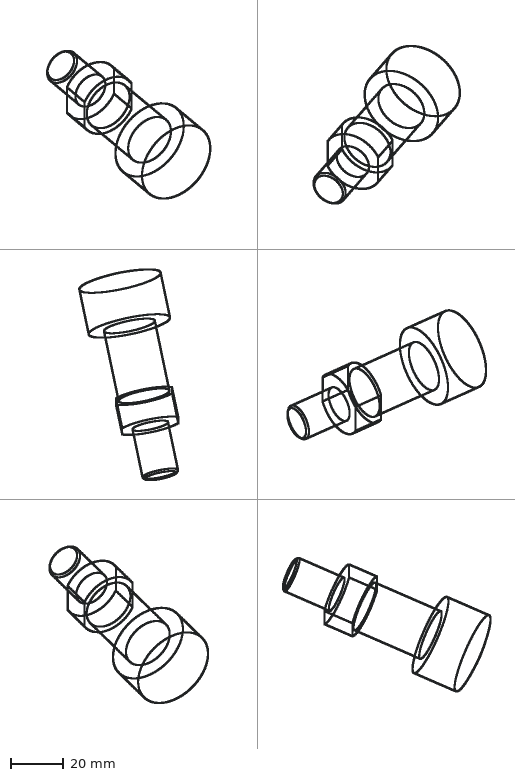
import cadquery as cq

stud_diameter = 14.0
collar_diameter = 25.0
shank_diameter = 20.0
head_diameter = 32.0

stud_length = 20.0
collar_length = 12.0
shank_length = 28.0
head_side_length = 18.0
dome_height = 2.0

stud_chamfer = 0.8
width_across_flats = 22.0

collar_start = stud_length
shank_start = collar_start + collar_length
head_start = shank_start + shank_length
dome_start = head_start + head_side_length


def cylinder_along_x(start, length, diameter):
    """Solid cylinder on the X axis, growing towards +X from start."""
    return cq.Workplane("YZ", origin=(start, 0, 0)).circle(diameter / 2).extrude(length)


def make_stud():
    """Stud with a chamfered free end."""
    return cylinder_along_x(0, stud_length, stud_diameter).faces("<X").chamfer(stud_chamfer)


def make_collar():
    """Round collar with two wrench flats facing -Y and +Y."""
    collar = cylinder_along_x(collar_start, collar_length, collar_diameter)
    flats_envelope = cq.Workplane("YZ", origin=(collar_start, 0, 0)).rect(
        width_across_flats, collar_diameter
    ).extrude(collar_length)
    return collar.intersect(flats_envelope)


def make_head():
    """Cylindrical head closed by a shallow spherical dome."""
    head_radius = head_diameter / 2
    crown = dome_start + dome_height
    dome_radius = (head_radius**2 + dome_height**2) / (2 * dome_height)
    dome_center = crown - dome_radius
    mid_radius = head_radius / 2
    mid_x = dome_center + (dome_radius**2 - mid_radius**2) ** 0.5
    return (
        cq.Workplane("XY")
        .moveTo(head_start, 0)
        .lineTo(head_start, head_radius)
        .lineTo(dome_start, head_radius)
        .threePointArc((mid_x, mid_radius), (crown, 0))
        .close()
        .revolve(360, (0, 0, 0), (1, 0, 0))
    )


shank = cylinder_along_x(shank_start, shank_length, shank_diameter)
result = make_stud().union(make_collar()).union(shank).union(make_head())